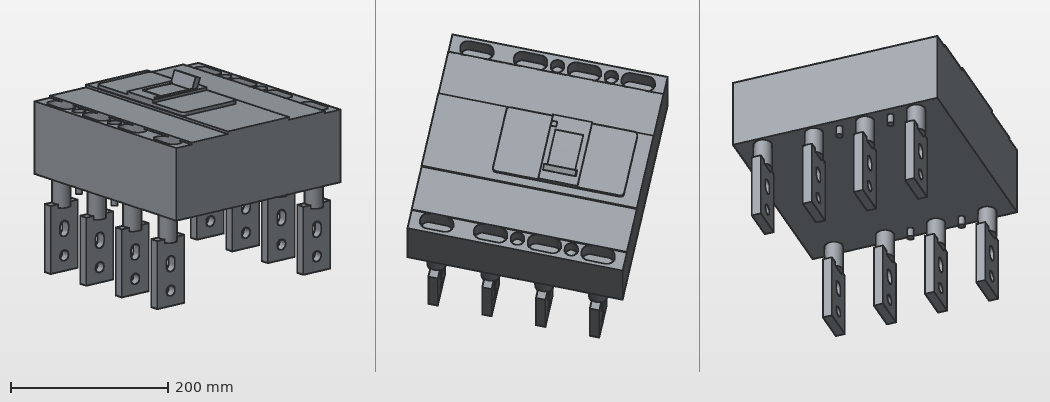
import cadquery as cq
import math


HOUSING_X = 280.0
HOUSING_Y = 273.0
END_HEIGHT = 96.2
SHOULDER_HEIGHT = 98.8
SHOULDER_HALF_Y = 111.2
CENTRE_HEIGHT = 102.2
CENTRE_HALF_Y = 51.0

POLE_COUNT = 4
POLE_PITCH = 70.0
TERMINAL_Y = 121.5
POLE_X = [(i - (POLE_COUNT - 1) / 2) * POLE_PITCH for i in range(POLE_COUNT)]
END_SIDES = (-1, 1)

SLOT_LENGTH = 43.2
SLOT_WIDTH = 2 * (TERMINAL_Y - SHOULDER_HALF_Y)
SLOT_DEPTH = 28.8

POST_DIAMETER = 24.0
POST_LENGTH = 37.0
BLADE_THICKNESS = 12.5
BLADE_WIDTH = 45.0
BLADE_TOP = -32.0
BLADE_BOTTOM = -122.0
BLADE_HOLE_DIAMETER = 13.8
BLADE_HOLE_Z = -101.7
BLADE_SLOT_LENGTH = 20.7
BLADE_SLOT_Z = -66.0

PANEL_X = 170.5
PANEL_Y_MIN = -49.5
PANEL_Y_MAX = 40.3
PANEL_TOP = 106.8
PANEL_CORNER_RADIUS = 5.0
PANEL_CENTRE_X = POLE_X[1]
BLOCK_X = 51.0
BLOCK_TOP = 110.5

WINDOW_X = 36.3
WINDOW_Y_MIN = -30.0
WINDOW_Y_MAX = 19.5
WINDOW_CROWN = 0.72
WINDOW_DEPTH = 0.3

RECESS_SIZE = 7.0
RECESS_X = -13.5
RECESS_Y = -37.5
RECESS_DEPTH = 0.5

LEVER_X = 41.8
LEVER_THICKNESS = 7.8
LEVER_LEAN = 21.0
LEVER_FRONT_Y = WINDOW_Y_MAX
LEVER_TOP = 126.0

SCREW_X = (-POLE_PITCH, 0.0)
HEAD_DIAMETER = 17.3
HEAD_HEIGHT = 11.5
HEAD_ROUND = 6.0
HEAD_SEAT_Z = END_HEIGHT - SLOT_DEPTH
SHANK_DIAMETER = 8.5
SHANK_END = -13.0


def box_between(size_x, centre_x, y_min, y_max, z_min, z_max):
    """Box centred on centre_x, spanning the given Y and Z limits."""
    return (
        cq.Workplane("XY", origin=(centre_x, (y_min + y_max) / 2, z_min))
        .rect(size_x, y_max - y_min)
        .extrude(z_max - z_min)
    )


def cylinder(diameter, x, y, z_min, z_max):
    """Upright cylinder between two heights."""
    return cq.Workplane("XY", origin=(x, y, z_min)).circle(diameter / 2).extrude(z_max - z_min)


def stepped_block():
    """Housing block with its two top steps."""
    tiers = (
        (HOUSING_Y / 2, END_HEIGHT),
        (SHOULDER_HALF_Y, SHOULDER_HEIGHT),
        (CENTRE_HALF_Y, CENTRE_HEIGHT),
    )
    block = cq.Workplane("XY")
    for half_y, height in tiers:
        block = block.union(box_between(HOUSING_X, 0, -half_y, half_y, 0, height))
    return block


def front_panel():
    """Rounded panel with the raised block across it."""
    panel = box_between(PANEL_X, PANEL_CENTRE_X, PANEL_Y_MIN, PANEL_Y_MAX, CENTRE_HEIGHT, PANEL_TOP)
    panel = panel.edges("|Z").fillet(PANEL_CORNER_RADIUS)
    block = box_between(BLOCK_X, PANEL_CENTRE_X, PANEL_Y_MIN, PANEL_Y_MAX, CENTRE_HEIGHT, BLOCK_TOP)
    return panel.union(block)


def window_cut():
    """Material removed above the crowned window floor."""
    rise = WINDOW_CROWN
    half_length = (WINDOW_Y_MAX - WINDOW_Y_MIN) / 2
    radius = (half_length**2 + rise**2) / (2 * rise)
    centre_y = (WINDOW_Y_MAX + WINDOW_Y_MIN) / 2
    floor_top = BLOCK_TOP - WINDOW_DEPTH
    pocket = box_between(
        WINDOW_X, PANEL_CENTRE_X, WINDOW_Y_MIN, WINDOW_Y_MAX, floor_top - rise, BLOCK_TOP
    )
    crown = (
        cq.Workplane("YZ", origin=(PANEL_CENTRE_X - WINDOW_X / 2, centre_y, floor_top - radius))
        .circle(radius)
        .extrude(WINDOW_X)
    )
    return pocket.cut(crown)


def lever():
    """Leaning lever with a square-cut end, rooted in the block."""
    lean = math.radians(LEVER_LEAN)
    rise = LEVER_TOP - PANEL_TOP
    root_y = LEVER_FRONT_Y - (BLOCK_TOP - PANEL_TOP) * math.tan(lean)
    tip_y = root_y + rise * math.tan(lean)
    back_tip_y = tip_y + LEVER_THICKNESS * math.cos(lean)
    back_tip_z = LEVER_TOP - LEVER_THICKNESS * math.sin(lean)
    back_root_y = root_y + LEVER_THICKNESS / math.cos(lean)
    return (
        cq.Workplane("YZ", origin=(PANEL_CENTRE_X - LEVER_X / 2, 0, 0))
        .moveTo(root_y, PANEL_TOP)
        .lineTo(tip_y, LEVER_TOP)
        .lineTo(back_tip_y, back_tip_z)
        .lineTo(back_root_y, PANEL_TOP)
        .close()
        .extrude(LEVER_X)
    )


def terminal(x, y):
    """Round post reaching into a flat blade with a slot and a hole through X."""
    post = cylinder(POST_DIAMETER, x, y, -POST_LENGTH, 0)
    half_width = BLADE_WIDTH / 2
    blade = box_between(BLADE_THICKNESS, x, y - half_width, y + half_width, BLADE_BOTTOM, BLADE_TOP)
    side = cq.Workplane("YZ", origin=(x - BLADE_THICKNESS / 2, y, 0))
    hole = side.center(0, BLADE_HOLE_Z).circle(BLADE_HOLE_DIAMETER / 2).extrude(BLADE_THICKNESS)
    slot = (
        side.center(0, BLADE_SLOT_Z)
        .slot2D(BLADE_SLOT_LENGTH, BLADE_HOLE_DIAMETER, 90)
        .extrude(BLADE_THICKNESS)
    )
    return post.union(blade.cut(hole).cut(slot))


def access_slot(x, y):
    """Round-ended pocket sunk from the top of an end strip."""
    return (
        cq.Workplane("XY", origin=(x, y, END_HEIGHT - SLOT_DEPTH))
        .slot2D(SLOT_LENGTH, SLOT_WIDTH)
        .extrude(SLOT_DEPTH)
    )


def screw_hole(x, y):
    """Counterbored through hole for one screw."""
    bore = cylinder(SHANK_DIAMETER, x, y, 0, END_HEIGHT)
    counterbore = cylinder(HEAD_DIAMETER, x, y, HEAD_SEAT_Z, END_HEIGHT)
    return bore.union(counterbore)


def corner_recess():
    """Small square recess in the block top."""
    y_min = RECESS_Y - RECESS_SIZE / 2
    y_max = RECESS_Y + RECESS_SIZE / 2
    return box_between(RECESS_SIZE, RECESS_X, y_min, y_max, BLOCK_TOP - RECESS_DEPTH, BLOCK_TOP)


def make_housing():
    """Breaker housing with its panel, lever and terminals."""
    body = stepped_block().union(front_panel()).cut(window_cut())
    body = body.cut(corner_recess())
    body = body.union(lever())
    for side in END_SIDES:
        for x in POLE_X:
            body = body.cut(access_slot(x, side * TERMINAL_Y))
            body = body.union(terminal(x, side * TERMINAL_Y))
        for x in SCREW_X:
            body = body.cut(screw_hole(x, side * TERMINAL_Y))
    return body


def make_screw(x, y):
    """Round-headed screw whose shank sticks out under the housing."""
    head = cylinder(HEAD_DIAMETER, x, y, HEAD_SEAT_Z, HEAD_SEAT_Z + HEAD_HEIGHT)
    head = head.faces(">Z").edges().fillet(HEAD_ROUND)
    shank = cylinder(SHANK_DIAMETER, x, y, SHANK_END, HEAD_SEAT_Z)
    return head.union(shank)


housing = make_housing()
screws = [make_screw(x, side * TERMINAL_Y) for side in END_SIDES for x in SCREW_X]

result = cq.Compound.makeCompound([housing.val(), *[screw.val() for screw in screws]])